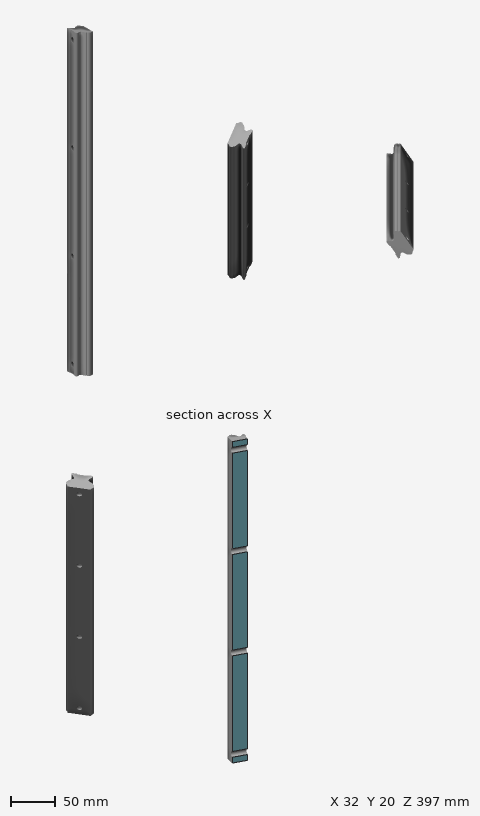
import cadquery as cq
import math


length = 397.0
height = 20.0
top_y = height / 2
bottom_y = -height / 2

overall_width = 32.0
wire_diameter = 6.0
wire_radius = wire_diameter / 2
wire_x = overall_width / 2 - wire_radius
wire_y = 5.0

head_half_width = 14.05
head_upper_corner_y = 8.2
head_lower_corner_y = 1.12
head_slope = math.tan(math.radians(30))
top_half_width = head_half_width - (top_y - head_upper_corner_y) * head_slope

neck_half_width = 8.45
neck_upper_y = head_lower_corner_y - (head_half_width - neck_half_width) * head_slope
neck_lower_y = -4.45
foot_half_width = 12.05
foot_upper_y = neck_lower_y - (foot_half_width - neck_half_width)

relief_half_width = 6.25
relief_depth = 0.9

head_fillet = 0.75
flank_fillet = 1.0
foot_fillet = 0.5

hole_diameter = 6.5
hole_count = 4
hole_pitch = 125.0

head_upper_corner = (head_half_width, head_upper_corner_y)
head_lower_corner = (head_half_width, head_lower_corner_y)
neck_lower_corner = (neck_half_width, neck_lower_y)
foot_upper_corner = (foot_half_width, foot_upper_y)
foot_lower_corner = (foot_half_width, bottom_y)

rounded_corners = [
    (head_upper_corner, head_fillet),
    (head_lower_corner, head_fillet),
    (neck_lower_corner, flank_fillet),
    (foot_upper_corner, flank_fillet),
    (foot_lower_corner, foot_fillet),
]


def make_rail_blank():
    """Extruded rail profile, symmetric about X = 0, with its long edges rounded."""
    right_half = [
        (top_half_width, top_y),
        head_upper_corner,
        head_lower_corner,
        (neck_half_width, neck_upper_y),
        neck_lower_corner,
        foot_upper_corner,
        foot_lower_corner,
        (relief_half_width, bottom_y),
        (relief_half_width - relief_depth, bottom_y + relief_depth),
    ]
    left_half = [(-x, y) for x, y in reversed(right_half)]
    blank = cq.Workplane("XY").polyline(right_half + left_half).close().extrude(length / 2, both=True)
    for (x, y), radius in rounded_corners:
        for side in (-1, 1):
            corner_edge = cq.selectors.NearestToPointSelector((side * x, y, 0))
            blank = blank.edges(corner_edge).fillet(radius)
    return blank


def make_wire(side):
    """Full-length round wire on the -X (side = -1) or +X (side = 1) flank of the rail."""
    base = cq.Plane(origin=(side * wire_x, wire_y, -length / 2), xDir=(side, 0, 0), normal=(0, 0, 1))
    return cq.Workplane(base).circle(wire_radius).extrude(length)


def make_mounting_holes():
    """Row of cylinders along Z, each passing through the rail in Y."""
    first_z = -(hole_count - 1) * hole_pitch / 2
    centers = [(0, first_z + i * hole_pitch) for i in range(hole_count)]
    holes = cq.Workplane("XZ").pushPoints(centers).circle(hole_diameter / 2)
    return holes.extrude(height, both=True)


def make_rail(wires):
    """Rail with a matching groove for each wire and its mounting holes."""
    rail = make_rail_blank()
    for wire in wires:
        rail = rail.cut(wire)
    return rail.cut(make_mounting_holes())


wires = [make_wire(side) for side in (-1, 1)]
rail = make_rail(wires)

result = cq.Compound.makeCompound([rail.solids().val(), *[wire.val() for wire in wires]])